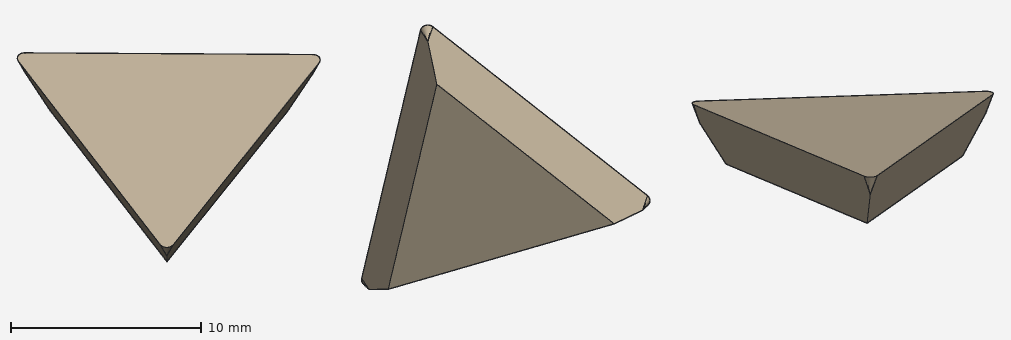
import cadquery as cq
import math

width = 15.92
thickness = 3.17
nose_radius = 0.4
relief_degrees = 20

core_side = width - 2 * nose_radius
core_inradius = core_side / (2 * math.sqrt(3))
core_circumradius = 2 * core_inradius
nose_depth = nose_radius / math.tan(math.radians(relief_degrees))
lower_height = thickness - nose_depth
corner_angles = (90, 210, 330)


def triangle_points(circumradius):
    """Corners of an equilateral triangle centred on the Z axis, one towards +Y."""
    return [
        (circumradius * math.cos(math.radians(angle)), circumradius * math.sin(math.radians(angle)))
        for angle in corner_angles
    ]


def nose_cone(center):
    """Rounded nose, narrowing to a point where the sharp edge begins."""
    x, y = center
    return cq.Workplane(
        cq.Solid.makeCone(0, nose_radius, nose_depth, pnt=cq.Vector(x, y, lower_height))
    )


def flank_wedge(turn):
    """Sloping flank between two noses, turned about Z from the -Y side."""
    wedge = (
        cq.Workplane("YZ", origin=(-core_side / 2, 0, 0))
        .moveTo(-core_inradius, lower_height)
        .lineTo(-core_inradius, thickness)
        .lineTo(-core_inradius - nose_radius, thickness)
        .close()
        .extrude(core_side)
    )
    return wedge.rotate((0, 0, 0), (0, 0, 1), turn)


lower_body = (
    cq.Workplane("XY", origin=(0, 0, lower_height))
    .polyline(triangle_points(core_circumradius))
    .close()
    .extrude(-lower_height, taper=relief_degrees)
)

upper_core = (
    cq.Workplane("XY", origin=(0, 0, lower_height))
    .polyline(triangle_points(core_circumradius))
    .close()
    .extrude(nose_depth)
)

result = lower_body.union(upper_core)
for turn in (0, 120, 240):
    result = result.union(flank_wedge(turn))
for center in triangle_points(core_circumradius):
    result = result.union(nose_cone(center))
result = result.clean()